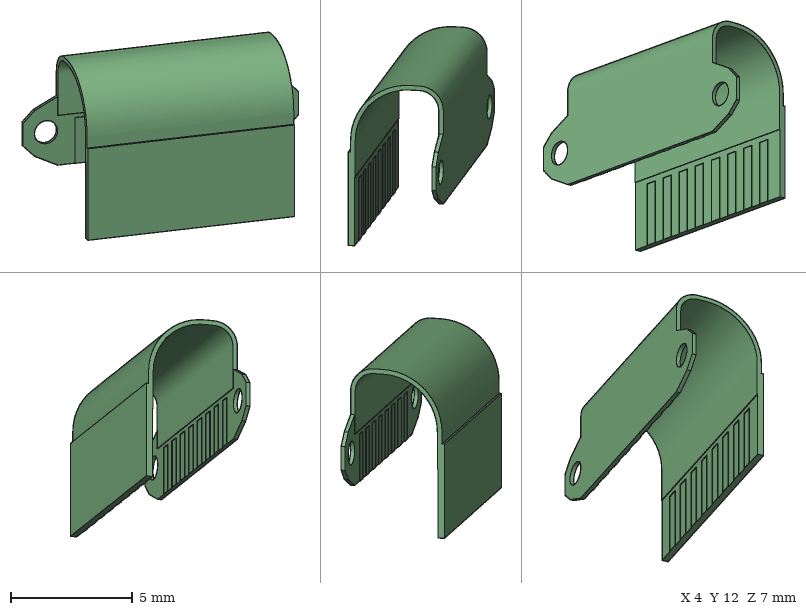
import cadquery as cq

strip_width = 9.0
base_thickness = 0.175
strip_reach = 3.9
strip_depth = 7.0
small_bend_radius = 1.0
large_bend_radius = 2.5

cover_thickness = 0.025
short_leg_cover_end = -2.82
long_leg_cover_end = -4.07

plate_top = -2.0
plate_bottom = -5.0
plate_middle = (plate_top + plate_bottom) / 2
plate_width = 12.0
ear_end_height = 1.0
ear_shoulder_height = 2.0
ear_end_chamfer = 0.5
hole_diameter = 1.0
hole_spacing = 10.0

stiffener_thickness = 0.1
stiffener_top = -3.0

short_leg_contact_top = -3.0
long_leg_contact_top = -4.32
contact_count = 8
contact_pitch = 1.0
contact_width = 0.5
contact_thickness = cover_thickness


def upright_block(x_min, thickness, y_center, width, z_top, z_bottom):
    """Block standing on z_bottom, centred on y_center, growing from x_min toward +X."""
    block = cq.Workplane("XY").box(thickness, width, z_top - z_bottom, centered=(False, True, False))
    return block.translate((x_min, y_center, z_bottom))


def hook_layer(outer_offset, thickness, short_leg_end, long_leg_end):
    """Layer of the hook, starting outer_offset inside the outer surface."""
    inner_offset = outer_offset + thickness
    small_center_x = small_bend_radius
    large_center_x = strip_reach - large_bend_radius
    profile = (
        cq.Workplane("XZ", origin=(0, strip_width / 2, 0))
        .moveTo(outer_offset, short_leg_end)
        .lineTo(outer_offset, -small_bend_radius)
        .radiusArc((small_center_x, -outer_offset), small_bend_radius - outer_offset)
        .lineTo(large_center_x, -outer_offset)
        .radiusArc((strip_reach - outer_offset, -large_bend_radius), large_bend_radius - outer_offset)
        .lineTo(strip_reach - outer_offset, long_leg_end)
        .lineTo(strip_reach - inner_offset, long_leg_end)
        .lineTo(strip_reach - inner_offset, -large_bend_radius)
        .radiusArc((large_center_x, -inner_offset), inner_offset - large_bend_radius)
        .lineTo(small_center_x, -inner_offset)
        .radiusArc((inner_offset, -small_bend_radius), inner_offset - small_bend_radius)
        .lineTo(inner_offset, short_leg_end)
        .close()
    )
    return profile.extrude(strip_width)


def mounting_plate():
    """Plate with a faceted ear and a hole at each side."""
    shoulder_y = plate_width / 2 - ear_end_chamfer
    right_ear = [
        (strip_width / 2, plate_top),
        (shoulder_y, plate_middle + ear_shoulder_height / 2),
        (plate_width / 2, plate_middle + ear_end_height / 2),
        (plate_width / 2, plate_middle - ear_end_height / 2),
        (shoulder_y, plate_middle - ear_shoulder_height / 2),
        (strip_width / 2, plate_bottom),
    ]
    left_ear = [(-y, z) for y, z in reversed(right_ear)]
    return cq.Workplane("YZ").polyline(right_ear + left_ear).close().extrude(base_thickness)


def mounting_holes():
    """Cylinders to cut, one through each ear."""
    centers = [(side * hole_spacing / 2, plate_middle) for side in (-1, 1)]
    return cq.Workplane("YZ").pushPoints(centers).circle(hole_diameter / 2).extrude(base_thickness)


def stiffener():
    """Thin backing plate on the outside of the long leg."""
    return upright_block(strip_reach, stiffener_thickness, 0, strip_width, stiffener_top, -strip_depth)


def contact_row(x_min, z_top, z_bottom):
    """Evenly spaced contact pads on the inner face of one leg."""
    row = cq.Workplane("XY")
    for index in range(contact_count):
        y_center = (index - (contact_count - 1) / 2) * contact_pitch
        row = row.add(upright_block(x_min, contact_thickness, y_center, contact_width, z_top, z_bottom))
    return row.combine()


base_film = hook_layer(0, base_thickness, plate_bottom, -strip_depth)
cover_film = hook_layer(base_thickness, cover_thickness, short_leg_cover_end, long_leg_cover_end)
short_leg_contacts = contact_row(base_thickness, short_leg_contact_top, plate_bottom)
long_leg_contacts = contact_row(
    strip_reach - base_thickness - contact_thickness, long_leg_contact_top, -strip_depth
)

result = (
    base_film.union(mounting_plate())
    .union(cover_film)
    .union(stiffener())
    .union(short_leg_contacts)
    .union(long_leg_contacts)
    .cut(mounting_holes())
)